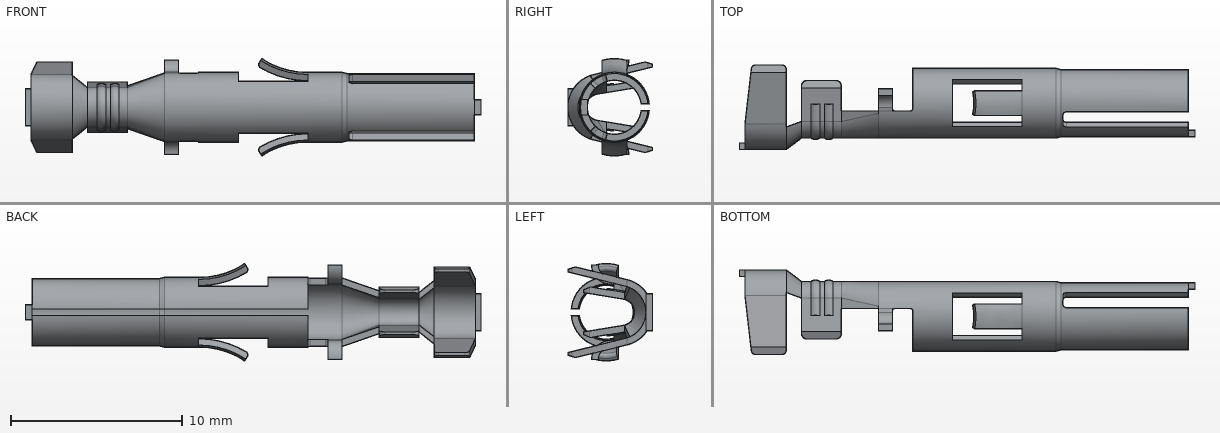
import cadquery as cq
import math

SHEET = 0.4
LENGTH = 26.62

BARREL_RADIUS = 2.05
MATING_RADIUS = 1.97
BARREL_START = 8.12
SEAM_START = 10.12
STEP_START = 18.5
STEP_END = 18.8
BARREL_END = 26.22
SEAM_WIDTH = 0.4
OPEN_TOP_Y = -0.45
NOTCH_FILLET = 0.13

SLOT_START = 18.9
SLOT_ANGLE = 30.0
SLOT_FILLET = 0.2

WINDOW_START = 12.45
WINDOW_END = 16.5
WINDOW_ANGLE = 84.0
TONGUE_ANGLE = 42.0
TONGUE_RUN = 2.7
TONGUE_TIP_Z = 2.85
TONGUE_TIP_FILLET = 0.2

TAB_WIDTH = 0.83
TAB_REACH = 2.77
TAB_BEND_Y = -0.25
TAB_BEND_RADIUS = 0.7

WIRE_START = 3.62
WIRE_END = 5.95
WIRE_RADIUS = 1.17
WIRE_CENTRE_Y = WIRE_RADIUS - BARREL_RADIUS
WIRE_TILT = 9.3
WIRE_TIP_Y = 1.33
WIRE_CORNER = 0.35

RIB_PLACES = (4.45, 5.22)
RIB_WIDTH = 0.5
RIB_ROOT = 0.13
RIB_HEIGHT = 0.08
RIB_TOP_Y = -0.05

INSULATION_START = 0.32
INSULATION_END = 2.75
INSULATION_RADIUS = 1.97
INSULATION_BOTTOM_Y = -2.72
INSULATION_CENTRE_Y = INSULATION_BOTTOM_Y + INSULATION_RADIUS
INSULATION_TILT = 13.8
INSULATION_TIP_Y = 2.24
INSULATION_SETBACK = 0.4
INSULATION_CORNER = 0.27

BEVEL_LENGTH = 0.4
BEVEL_DEPTH = 0.25

NECK_REAR_TOP_Y = -1.38
NECK_FRONT_TOP_Y = -1.06

SHOULDER_TILT = 17.0

REAR_STUB_WIDTH = 2.18
FRONT_STUB_WIDTH = 0.88

BIG = 10.65


def section_plane(x):
    """Cross-section plane at x: local axes are Y and Z."""
    return cq.Workplane("YZ", origin=(x, 0, 0))


def mirrored(points):
    """The same (y, z) points on the -Z side, in reverse order."""
    return [(y, -z) for y, z in reversed(points)]


def leg_point(centre_y, radius, tilt, along):
    """Point on a leg that leaves a circle tangentially, leaning outward by tilt."""
    lean = math.radians(tilt)
    y = centre_y - radius * math.sin(lean) + along * math.cos(lean)
    z = radius * math.cos(lean) + along * math.sin(lean)
    return y, z


def leg_length(centre_y, radius, tilt, top_y):
    """Length of such a leg from its tangent point up to the height top_y."""
    lean = math.radians(tilt)
    return (top_y - centre_y + radius * math.sin(lean)) / math.cos(lean)


def u_section(x, centre_y, radius, outer_leg, inner_leg):
    """U-shaped section: a bottom arc between two legs given by their (y, z) points.

    Both point lists start at the arc; the tip edge joins their last points.
    """
    inner_radius = radius - SHEET
    return (
        section_plane(x)
        .polyline(mirrored(outer_leg))
        .threePointArc((centre_y - radius, 0), outer_leg[0])
        .polyline(outer_leg[1:] + inner_leg[::-1], includeCurrent=True)
        .threePointArc((centre_y - inner_radius, 0), (inner_leg[0][0], -inner_leg[0][1]))
        .polyline([(y, -z) for y, z in inner_leg[1:]], includeCurrent=True)
        .close()
    )


def flat_topped_u(x, centre_y, radius, tilt, top_y):
    """U section whose legs are cut off level at top_y."""
    legs = []
    for r in (radius, radius - SHEET):
        along = leg_length(centre_y, r, tilt, top_y)
        legs.append([leg_point(centre_y, r, tilt, s) for s in (0, along)])
    return u_section(x, centre_y, radius, legs[0], legs[1])


def bevelled_u(x, centre_y, radius, tilt, tip_y):
    """U section whose legs have tips bevelled on the outside."""
    tip_radius = radius - BEVEL_DEPTH
    tip = leg_length(centre_y, tip_radius, tilt, tip_y)
    outer = [
        leg_point(centre_y, radius, tilt, 0),
        leg_point(centre_y, radius, tilt, tip - BEVEL_LENGTH),
        leg_point(centre_y, tip_radius, tilt, tip),
    ]
    inner = [leg_point(centre_y, radius - SHEET, tilt, s) for s in (0, tip)]
    return u_section(x, centre_y, radius, outer, inner)


def arc_section(work, centre_y, radius, top_y):
    """Curved strip with no legs, cut off level at top_y."""
    inner = radius - SHEET
    outer_z = math.sqrt(radius**2 - (top_y - centre_y) ** 2)
    inner_z = math.sqrt(inner**2 - (top_y - centre_y) ** 2)
    return (
        work.moveTo(top_y, -outer_z)
        .threePointArc((centre_y - radius, 0), (top_y, outer_z))
        .lineTo(top_y, inner_z)
        .threePointArc((centre_y - inner, 0), (top_y, -inner_z))
        .close()
    )


def x_box(x_start, x_end, y_low, y_high, width):
    """Box between two X and two Y planes, centred on Z = 0."""
    size = (x_end - x_start, y_high - y_low, width)
    return cq.Workplane("XY").box(*size, centered=(False, False, True)).translate((x_start, y_low, 0))


def wedge(x_start, x_end, angle):
    """Radial cutter that widens toward +Y, through one side of the barrel wall."""
    near = MATING_RADIUS - 2 * SHEET
    far = BARREL_RADIUS + SHEET
    slope = math.tan(math.radians(angle / 2))
    outline = [(near, -near * slope), (far, -far * slope), (far, far * slope), (near, near * slope)]
    return section_plane(x_start).polyline(outline).close().extrude(x_end - x_start)


def turned(body, direction):
    """The body turned about the barrel axis, from +Y toward +Z, by direction degrees."""
    return body.rotate((0, 0, 0), (1, 0, 0), direction)


def barrel():
    """Stepped tube with seam, open rear part, latch windows and mating slots."""
    profile = [
        (BARREL_START, BARREL_RADIUS),
        (STEP_START, BARREL_RADIUS),
        (STEP_END, MATING_RADIUS),
        (BARREL_END, MATING_RADIUS),
    ]
    bore = [(x, r - SHEET) for x, r in reversed(profile)]
    tube = cq.Workplane("XY").polyline(profile + bore).close().revolve(360, (0, 0, 0), (1, 0, 0))

    tube = tube.cut(x_box(SEAM_START, BARREL_END, 0, BIG, SEAM_WIDTH))
    tab_end = BARREL_START + TAB_WIDTH
    tube = tube.cut(x_box(BARREL_START, tab_end, OPEN_TOP_Y, BIG, BIG))
    notch = x_box(tab_end, SEAM_START, OPEN_TOP_Y, BIG, BIG)
    tube = tube.cut(notch.edges("|Z and <Y").fillet(NOTCH_FILLET))

    window = wedge(WINDOW_START, WINDOW_END, WINDOW_ANGLE)
    for direction in (90, -90):
        tube = tube.cut(turned(window, direction))
    slot = wedge(SLOT_START, LENGTH, SLOT_ANGLE)
    slot = slot.faces("<X").edges("not |Z").fillet(SLOT_FILLET)
    for direction in (120, -120):
        tube = tube.cut(turned(slot, direction))
    return tube


def tongue():
    """Latch tongue at +Z, curving outward toward the rear."""
    half = math.radians(TONGUE_ANGLE / 2)
    inner = BARREL_RADIUS - SHEET
    side = math.sin(half)
    height = math.cos(half)
    rise = TONGUE_TIP_Z - BARREL_RADIUS
    bend = (TONGUE_RUN**2 + rise**2) / (2 * rise)
    tip = (WINDOW_END - TONGUE_RUN, TONGUE_TIP_Z)
    path = cq.Workplane("XZ").moveTo(WINDOW_END, BARREL_RADIUS).radiusArc(tip, bend)
    strip = (
        section_plane(WINDOW_END)
        .moveTo(-BARREL_RADIUS * side, BARREL_RADIUS * height)
        .threePointArc((0, BARREL_RADIUS), (BARREL_RADIUS * side, BARREL_RADIUS * height))
        .lineTo(inner * side, inner * height)
        .threePointArc((0, inner), (-inner * side, inner * height))
        .close()
        .sweep(path)
    )
    return strip.edges("<X").fillet(TONGUE_TIP_FILLET)


def stop_tab():
    """Tab at +Z that rises from the barrel wall and bends outward."""
    bend_z = BARREL_RADIUS + TAB_BEND_RADIUS
    far_radius = TAB_BEND_RADIUS + SHEET
    diagonal = math.sqrt(0.5)
    inner = BARREL_RADIUS - SHEET
    root_z = math.sqrt(BARREL_RADIUS**2 - OPEN_TOP_Y**2)
    inner_root_z = math.sqrt(inner**2 - OPEN_TOP_Y**2)
    return (
        section_plane(BARREL_START)
        .moveTo(OPEN_TOP_Y, root_z)
        .lineTo(TAB_BEND_Y, BARREL_RADIUS)
        .threePointArc(
            (TAB_BEND_Y + TAB_BEND_RADIUS * diagonal, bend_z - TAB_BEND_RADIUS * diagonal),
            (TAB_BEND_Y + TAB_BEND_RADIUS, bend_z),
        )
        .lineTo(TAB_BEND_Y + TAB_BEND_RADIUS, TAB_REACH)
        .lineTo(TAB_BEND_Y + far_radius, TAB_REACH)
        .lineTo(TAB_BEND_Y + far_radius, bend_z)
        .threePointArc(
            (TAB_BEND_Y + far_radius * diagonal, bend_z - far_radius * diagonal),
            (TAB_BEND_Y, inner),
        )
        .lineTo(OPEN_TOP_Y, inner_root_z)
        .close()
        .extrude(TAB_WIDTH)
    )


def rib(place):
    """Domed rib, centred at x = place, that follows the outside of the wire crimp."""
    lean = math.radians(WIRE_TILT)
    along = leg_length(WIRE_CENTRE_Y, WIRE_RADIUS, WIRE_TILT, RIB_TOP_Y)
    top, tangent = [leg_point(WIRE_CENTRE_Y, WIRE_RADIUS, WIRE_TILT, s) for s in (along, 0)]
    path = (
        section_plane(place)
        .moveTo(*top)
        .lineTo(*tangent)
        .threePointArc((WIRE_CENTRE_Y - WIRE_RADIUS, 0), (tangent[0], -tangent[1]))
        .lineTo(top[0], -top[1])
    )
    end_plane = cq.Plane(
        origin=(place, *top), xDir=(1, 0, 0), normal=(0, -math.cos(lean), -math.sin(lean))
    )
    half = RIB_WIDTH / 2
    return (
        cq.Workplane(end_plane)
        .moveTo(-half, -RIB_ROOT)
        .lineTo(-half, 0)
        .threePointArc((0, RIB_HEIGHT), (half, 0))
        .lineTo(half, -RIB_ROOT)
        .close()
        .sweep(path)
    )


def wire_crimp():
    """Wire crimp with bevelled ears, rounded ear corners and raised ribs."""
    length = WIRE_END - WIRE_START
    crimp = bevelled_u(WIRE_START, WIRE_CENTRE_Y, WIRE_RADIUS, WIRE_TILT, WIRE_TIP_Y).extrude(length)
    blank = x_box(WIRE_START, WIRE_END, -BIG, WIRE_TIP_Y, BIG)
    crimp = crimp.intersect(blank.edges("|Z and >Y").fillet(WIRE_CORNER))
    for place in RIB_PLACES:
        crimp = crimp.union(rib(place))
    return crimp


def insulation_crimp():
    """Insulation crimp whose ears slope back along their rear edge."""
    tangent_y = leg_point(INSULATION_CENTRE_Y, INSULATION_RADIUS, INSULATION_TILT, 0)[0]
    crimp = bevelled_u(
        INSULATION_START, INSULATION_CENTRE_Y, INSULATION_RADIUS, INSULATION_TILT, INSULATION_TIP_Y
    ).extrude(INSULATION_END - INSULATION_START)
    outline = [
        (INSULATION_START, -BIG),
        (INSULATION_END, -BIG),
        (INSULATION_END, INSULATION_TIP_Y),
        (INSULATION_START + INSULATION_SETBACK, INSULATION_TIP_Y),
        (INSULATION_START, tangent_y),
    ]
    blank = cq.Workplane("XY").polyline(outline).close().extrude(BIG / 2, both=True)
    return crimp.intersect(blank.edges("|Z and >Y").fillet(INSULATION_CORNER))


def loft_between(rear, front):
    """Straight-sided solid between two closed sections."""
    return cq.Workplane(cq.Solid.makeLoft([rear.val(), front.val()], True))


def neck():
    """Strip that narrows from the insulation crimp to the wire crimp."""
    rear = arc_section(
        section_plane(INSULATION_END), INSULATION_CENTRE_Y, INSULATION_RADIUS, NECK_REAR_TOP_Y
    )
    front = arc_section(section_plane(WIRE_START), WIRE_CENTRE_Y, WIRE_RADIUS, NECK_FRONT_TOP_Y)
    return loft_between(rear, front)


def shoulder():
    """Strip that widens from the wire crimp to the open part of the barrel."""
    rear = flat_topped_u(WIRE_END, WIRE_CENTRE_Y, WIRE_RADIUS, WIRE_TILT, OPEN_TOP_Y)
    front = flat_topped_u(BARREL_START, 0, BARREL_RADIUS, SHOULDER_TILT, OPEN_TOP_Y)
    return loft_between(rear, front)


rear_stub = x_box(
    0, INSULATION_START, INSULATION_BOTTOM_Y, INSULATION_BOTTOM_Y + SHEET, REAR_STUB_WIDTH
)
front_stub = x_box(BARREL_END, LENGTH, -MATING_RADIUS, SHEET - MATING_RADIUS, FRONT_STUB_WIDTH)

result = barrel().union(shoulder()).union(wire_crimp()).union(neck()).union(insulation_crimp())
for upper in (tongue(), stop_tab()):
    result = result.union(upper).union(upper.mirror("XY"))
result = result.union(rear_stub).union(front_stub)